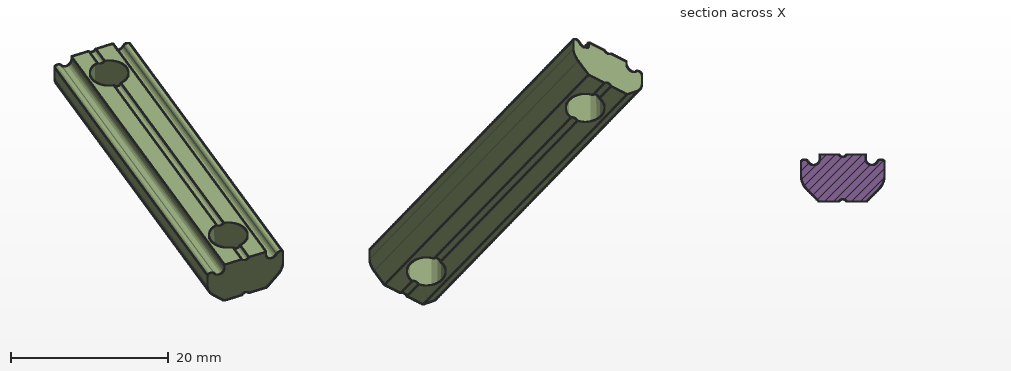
import cadquery as cq
import math

length = 45.0
width = 10.6
height = 6.0

tongue_width = 5.85
bottom_width = 6.0
flank_radius = 2.48
lip_top = 5.35
lip_radius = 0.55
side_top = 5.1
channel_radius = 0.75
mark_width = 1.0
mark_depth = 0.292

hole_diameter = 4.9
hole_end_distance = 5.0

half_width = width / 2
half_tongue = tongue_width / 2
half_bottom = bottom_width / 2
half_mark = mark_width / 2
diagonal = math.sqrt(0.5)

corner_z = half_width - half_bottom
tangent_length = flank_radius * math.tan(math.radians(22.5))
blend_top_z = corner_z + tangent_length
blend_end_y = half_width - tangent_length * diagonal
blend_end_z = corner_z - tangent_length * diagonal

lip_z = lip_top - lip_radius
lip_y = half_width - math.sqrt(lip_radius**2 - (side_top - lip_z)**2)
channel_y = half_tongue + channel_radius
centre_distance = lip_radius + channel_radius
channel_z = lip_z + math.sqrt(centre_distance**2 - (lip_y - channel_y)**2)
joint_fraction = lip_radius / centre_distance
joint_y = lip_y + (channel_y - lip_y) * joint_fraction
joint_z = lip_z + (channel_z - lip_z) * joint_fraction


def half_bar():
    """Extrude the +Y half of the section, without the centre grooves."""
    section = (
        cq.Workplane("YZ")
        .workplane(offset=-length / 2)
        .moveTo(0, 0)
        .lineTo(half_bottom, 0)
        .lineTo(blend_end_y, blend_end_z)
        .tangentArcPoint((half_width, blend_top_z), relative=False)
        .lineTo(half_width, side_top)
        .threePointArc((lip_y, lip_top), (joint_y, joint_z))
        .tangentArcPoint((half_tongue, channel_z), relative=False)
        .lineTo(half_tongue, height)
        .lineTo(0, height)
        .close()
    )
    return section.extrude(length)


def centre_groove(face_z, floor_z):
    """Round-bottomed groove along the bar, cut from one flat face."""
    return (
        cq.Workplane("YZ")
        .workplane(offset=-length / 2)
        .moveTo(-half_mark, face_z)
        .threePointArc((0, floor_z), (half_mark, face_z))
        .close()
        .extrude(length)
    )


def through_holes():
    hole_x = length / 2 - hole_end_distance
    return (
        cq.Workplane("XY")
        .pushPoints([(-hole_x, 0), (hole_x, 0)])
        .circle(hole_diameter / 2)
        .extrude(height)
    )


half = half_bar()
bar = half.union(half.mirror("XZ")).clean()
bar = bar.cut(centre_groove(height, height - mark_depth))
bar = bar.cut(centre_groove(0, mark_depth))
result = bar.cut(through_holes())